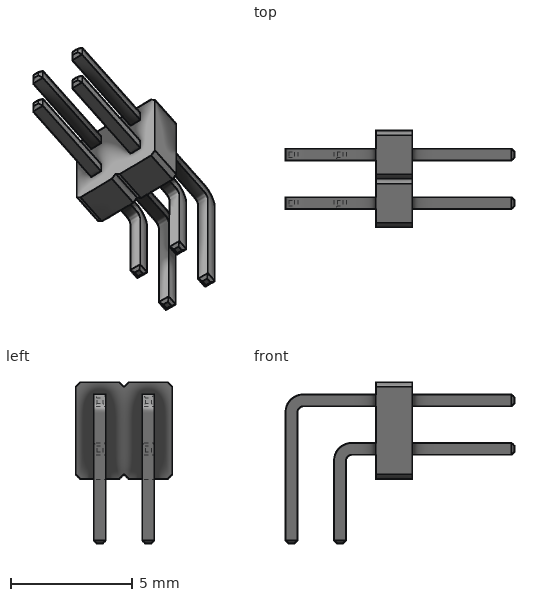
import cadquery as cq


overall_length = 9.45
overall_height = 6.65
housing_size = 4.0

pitch = housing_size / 2
pin_width = 0.5
inner_bend_radius = 0.25
outer_bend_radius = inner_bend_radius + pin_width
tip_chamfer = 0.13
upper_pin_drop = 0.5

housing_start = 3.73
housing_thickness = 1.5
corner_chamfer = 0.2


def housing_cell(center_y):
    """One column of the housing, with its four long X edges chamfered."""
    return (
        cq.Workplane("XY")
        .box(housing_thickness, pitch, housing_size, centered=(False, True, False))
        .edges("|X")
        .chamfer(corner_chamfer)
        .translate((housing_start, center_y, overall_height - housing_size))
    )


def bent_pin(center_y, tail_x, top_z):
    """Square pin with a vertical tail starting at tail_x and a horizontal arm topped at top_z."""
    tail_length = top_z
    arm_length = overall_length - tail_x
    tail = cq.Workplane("XY").box(pin_width, pin_width, tail_length, centered=(False, True, False))
    arm = (
        cq.Workplane("XY")
        .box(arm_length, pin_width, pin_width, centered=(False, True, False))
        .translate((0, 0, tail_length - pin_width))
    )
    pin = tail.union(arm)
    pin = pin.faces("<X").edges(">Z").fillet(outer_bend_radius)
    inner_corner = cq.selectors.NearestToPointSelector((pin_width, 0, tail_length - pin_width))
    pin = pin.edges(inner_corner).fillet(inner_bend_radius)
    pin = pin.faces("<Z or >X").chamfer(tip_chamfer)
    return pin.translate((tail_x, center_y, 0))


columns = (-pitch / 2, pitch / 2)
rows = (0, 1)

result = housing_cell(columns[0]).union(housing_cell(columns[1]))
for column_y in columns:
    for row in rows:
        row_offset = row * pitch
        upper_side = overall_height - upper_pin_drop - row_offset
        result = result.union(bent_pin(column_y, row_offset, upper_side))